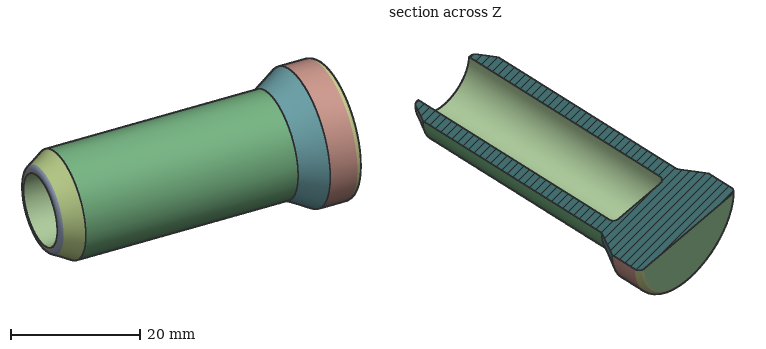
import cadquery as cq
import math

length = 50.0
head_radius = 11.5
body_radius = 9.0
cone_angle = math.radians(30)

head_length = 10.0
head_rounding = 1.0
tip_length = 3.5
tip_rounding = 1.0

bore_radius = 6.0
bore_depth = 40.0
bore_floor_rounding = 1.0

tip_radius = body_radius - tip_length * math.tan(cone_angle)
cone_length = (head_radius - body_radius) / math.tan(cone_angle)
front_y = -length / 2
back_y = length / 2
cone_start_y = back_y - head_length


def make_body():
    """Revolve the stepped outline about Y and round its two ends."""
    body = (
        cq.Workplane("XY")
        .moveTo(0, front_y)
        .lineTo(tip_radius, front_y)
        .lineTo(body_radius, front_y + tip_length)
        .lineTo(body_radius, cone_start_y)
        .lineTo(head_radius, cone_start_y + cone_length)
        .lineTo(head_radius, back_y)
        .lineTo(0, back_y)
        .close()
        .revolve(360, (0, 0), (0, 1))
    )
    body = body.faces(">Y").edges().fillet(head_rounding)
    return body.faces("<Y").edges().fillet(tip_rounding)


def make_bore():
    """Cylinder entering from the tip, rounded where it meets its floor."""
    bore = (
        cq.Workplane("XZ", origin=(0, front_y, 0))
        .circle(bore_radius)
        .extrude(-bore_depth)
    )
    return bore.faces(">Y").edges().fillet(bore_floor_rounding)


result = make_body().cut(make_bore())